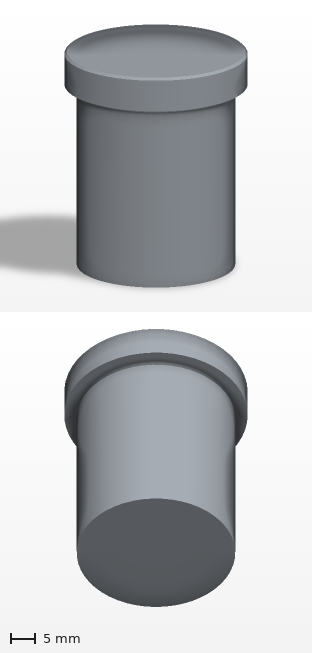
import cadquery as cq

total_height = 45.0
head_diameter = 37.0
head_height = 7.0
head_chamfer = 0.5
shank_diameter = 32.0

relief_arc_radius = 0.5

head_radius = head_diameter / 2
shank_radius = shank_diameter / 2
head_bottom = total_height - head_height
relief_bottom = head_bottom - 2 * relief_arc_radius
relief_deepest_point = (shank_radius - relief_arc_radius, head_bottom - relief_arc_radius)


def half_profile():
    """Half section in the XZ plane, from the axis outward."""
    return (
        cq.Workplane("XZ")
        .moveTo(0, 0)
        .lineTo(shank_radius, 0)
        .lineTo(shank_radius, relief_bottom)
        .threePointArc(relief_deepest_point, (shank_radius, head_bottom))
        .lineTo(head_radius, head_bottom)
        .lineTo(head_radius, total_height - head_chamfer)
        .lineTo(head_radius - head_chamfer, total_height)
        .lineTo(0, total_height)
        .close()
    )


axis_start = (0, 0, 0)
axis_end = (0, 1, 0)
result = half_profile().revolve(360, axis_start, axis_end)